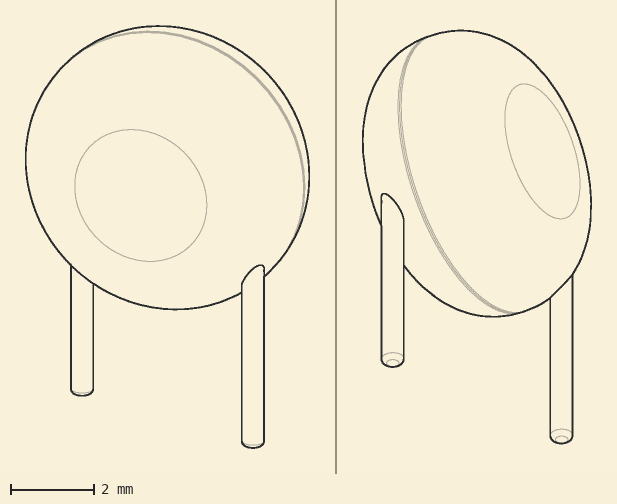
import cadquery as cq

body_diameter = 7.0
body_thickness = 3.7
overall_height = 10.03

edge_radius = 1.81

lead_diameter = 0.54
lead_spacing_x = 4.99
lead_spacing_y = 1.64
lead_tip_radius = 0.12
lead_bottom = body_diameter / 2 - overall_height


def make_body():
    """Disc with both rims rounded, leaving a narrow straight band between them."""
    disc = cq.Workplane("XZ").circle(body_diameter / 2).extrude(body_thickness / 2, both=True)
    return disc.faces("<Y or >Y").edges().fillet(edge_radius)


def make_lead(x, y):
    """Vertical wire with a rounded lower tip, ending inside the body at mid-height."""
    wire = (
        cq.Workplane("XY", origin=(x, y, lead_bottom))
        .circle(lead_diameter / 2)
        .extrude(-lead_bottom)
    )
    return wire.faces("<Z").edges().fillet(lead_tip_radius)


result = make_body()
for side in (-1, 1):
    lead = make_lead(side * lead_spacing_x / 2, -side * lead_spacing_y / 2)
    result = result.union(lead)